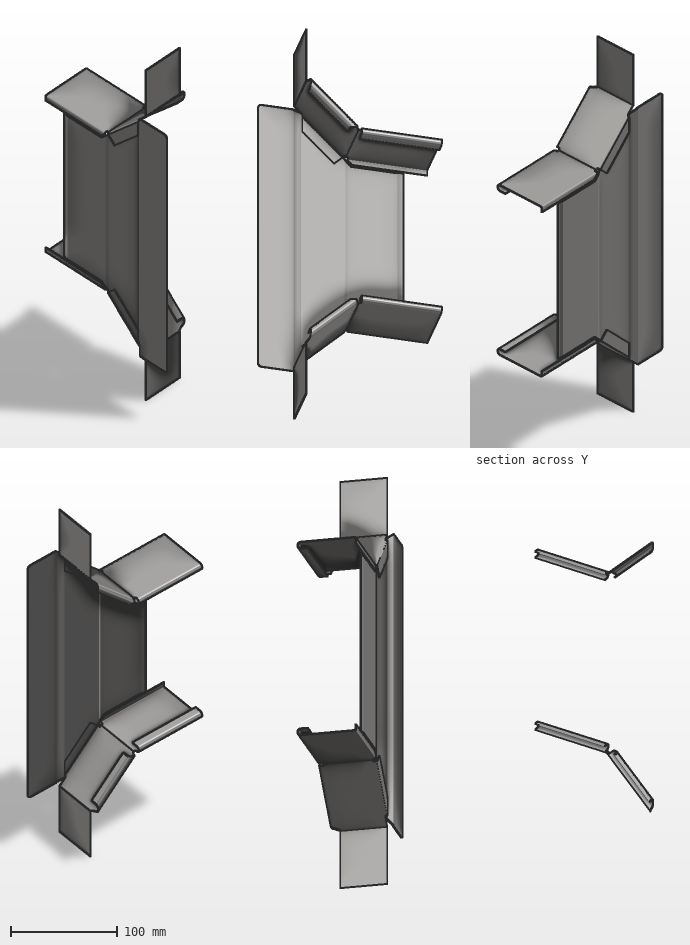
import cadquery as cq
import math


LENGTH = 163.5
HEIGHT = 61.2
SPAN = 408.3
SHEET = 1.0

LEG_TOP = 97.5
FOLD_X = 79.5
EAR_X = 129.0
EAR_FRONT = 6.5
EAR_BACK = 52.3
RELIEF = 2.0
RELIEF_RUN = RELIEF / math.sqrt(2)
RELIEF_FRONT = 7.8
RELIEF_BACK = 56.0
WING_TOP = LEG_TOP + EAR_X - FOLD_X
WING_RUN = (EAR_X - FOLD_X) * math.sqrt(2)
LEG_END = FOLD_X - RELIEF

FLANGE_Y = 4.0
BEND_RADIUS = 1.85
WALL_FRONT = FLANGE_Y + BEND_RADIUS
LEG_FLANGE_DEPTH = 6.5
LEG_FLANGE_CUT = 4.5
TAB_DEPTH = 13.5
TAB_END_X = 121.5

CURL_RADIUS = 3.75
CURL_Y = HEIGHT - CURL_RADIUS
LIP_Y = 51.0
WING_CURL_END_X = 127.5
WING_CORNER_Y = 57.0

FLOOR_START = 23.3
FLOOR_HALF_WIDTH = 89.0
TAB_LEVEL = FLANGE_Y + SHEET
LEAD_IN_START = 25.5
LEAD_IN_END = 29.0
STEP_START = 78.5
STEP_END = 81.0
SLOPE_START = 123.0
FLOOR_FOLD_RADIUS = 1.2
FLAP_START = SLOPE_START + TAB_LEVEL
FLAP_CORNER_RADIUS = 3.5


LEG_PLANE = cq.Plane(origin=(0, 0, LEG_TOP), xDir=(0, 1, 0), normal=(1, 0, 0))
WING_PLANE = cq.Plane(
    origin=(FOLD_X + RELIEF_RUN, 0, LEG_TOP + RELIEF_RUN), xDir=(0, 1, 0), normal=(1, 0, 1)
)


def folded_sheet(plane, path, width):
    """Extrude a folded strip, SHEET thick on the left of its path, with mitred folds."""
    headings = [math.atan2(q[1] - p[1], q[0] - p[0]) for p, q in zip(path, path[1:])]
    before = [headings[0]] + headings
    after = headings + [headings[-1]]
    left_side = []
    for (u, v), a, b in zip(path, before, after):
        normal = (a + b) / 2 + math.pi / 2
        reach = SHEET / math.cos((b - a) / 2)
        left_side.append((u + reach * math.cos(normal), v + reach * math.sin(normal)))
    return cq.Workplane(plane).polyline(path + left_side[::-1]).close().extrude(width)


def block(x, y, z):
    """A box given by its X, Y and Z ranges."""
    size = (x[1] - x[0], y[1] - y[0], z[1] - z[0])
    return cq.Workplane("XY").box(*size, centered=False).translate((x[0], y[0], z[0]))


def flange_section(plane, depth):
    """Wall edge bent inward at the bottom to a flange of the given depth."""
    middle = math.sqrt(0.5)
    inner_radius = BEND_RADIUS - SHEET
    outer_middle = (WALL_FRONT - BEND_RADIUS * middle, BEND_RADIUS * (middle - 1))
    inner_middle = (WALL_FRONT - inner_radius * middle, inner_radius * middle - BEND_RADIUS)
    return (
        cq.Workplane(plane)
        .moveTo(WALL_FRONT, 0)
        .threePointArc(outer_middle, (FLANGE_Y, -BEND_RADIUS))
        .lineTo(FLANGE_Y, -depth)
        .lineTo(FLANGE_Y + SHEET, -depth)
        .lineTo(FLANGE_Y + SHEET, -BEND_RADIUS)
        .threePointArc(inner_middle, (WALL_FRONT, -SHEET))
        .close()
    )


def curl_section(plane):
    """Wall edge curled inward through a half turn, ending in a flat lip."""
    return (
        cq.Workplane(plane)
        .moveTo(CURL_Y, 0)
        .threePointArc((HEIGHT, -CURL_RADIUS), (CURL_Y, -2 * CURL_RADIUS))
        .lineTo(LIP_Y, -2 * CURL_RADIUS)
        .lineTo(LIP_Y, SHEET - 2 * CURL_RADIUS)
        .lineTo(CURL_Y, SHEET - 2 * CURL_RADIUS)
        .threePointArc((HEIGHT - SHEET, -CURL_RADIUS), (CURL_Y, -SHEET))
        .close()
    )


def wall():
    """Leg, wing and ear in one folded strip, with its corner cut, ear clearance and fold notches."""
    path = [(EAR_X, SPAN / 2), (EAR_X, WING_TOP), (FOLD_X, LEG_TOP), (0, LEG_TOP)]
    strip = folded_sheet(cq.Plane.named("XZ", (0, CURL_Y, 0)), path, CURL_Y - WALL_FRONT)
    corner_cut = (
        cq.Workplane("XY")
        .moveTo(EAR_X, EAR_BACK)
        .lineTo(WING_CURL_END_X, WING_CORNER_Y)
        .lineTo(WING_CURL_END_X, HEIGHT)
        .lineTo(LENGTH, HEIGHT)
        .lineTo(LENGTH, EAR_BACK)
        .close()
        .extrude(SPAN / 2)
    )
    ear_clearance = block((TAB_END_X, LENGTH), (0, EAR_FRONT), (0, SPAN / 2))
    notch_x = (LEG_END, FOLD_X + RELIEF_RUN)
    front_notch = block(notch_x, (0, RELIEF_FRONT), (0, SPAN / 2))
    rear_notch = block(notch_x, (RELIEF_BACK, HEIGHT), (0, SPAN / 2))
    return strip.cut(corner_cut).cut(ear_clearance).cut(front_notch).cut(rear_notch)


def leg_flange():
    """Narrow flange along the leg, cut at 45 degrees beside the fold."""
    flange = flange_section(LEG_PLANE, LEG_FLANGE_DEPTH).extrude(LEG_END)
    bottom = LEG_TOP - LEG_FLANGE_DEPTH
    end_cut = (
        cq.Workplane("XZ", origin=(0, WALL_FRONT, 0))
        .moveTo(LEG_END - LEG_FLANGE_CUT, bottom)
        .lineTo(LEG_END, bottom + LEG_FLANGE_CUT)
        .lineTo(LEG_END, bottom)
        .close()
        .extrude(WALL_FRONT)
    )
    return flange.cut(end_cut)


def wing_tab():
    """Wide flange along the wing, under the floor panel."""
    tab = flange_section(WING_PLANE, TAB_DEPTH).extrude(WING_RUN)
    return tab.intersect(block((0, TAB_END_X), (0, HEIGHT), (0, SPAN / 2)))


def wing_curl():
    """Curled rim along the wing, trimmed at the underside of the leg and short of the ear."""
    curl = curl_section(WING_PLANE).extrude(WING_RUN)
    return curl.intersect(block((0, WING_CURL_END_X), (0, HEIGHT), (LEG_TOP - SHEET, SPAN / 2)))


def bracket():
    """The bracket on the +Z side."""
    leg_curl = curl_section(LEG_PLANE).extrude(LEG_END)
    return wall().union(leg_flange()).union(leg_curl).union(wing_tab()).union(wing_curl())


def floor_panel():
    """Floor stepped onto the tabs, then sloping down to a flat flap."""
    profile = [
        (FLOOR_START, TAB_LEVEL),
        (LEAD_IN_START, TAB_LEVEL),
        (LEAD_IN_END, FLANGE_Y),
        (STEP_START, FLANGE_Y),
        (STEP_END, TAB_LEVEL),
        (SLOPE_START, TAB_LEVEL),
        (FLAP_START, 0),
        (LENGTH, 0),
    ]
    strip = folded_sheet(cq.Plane.named("XY", (0, 0, -SPAN / 2)), profile, SPAN)
    panel = strip.edges("|Z").edges("not (<X or >X)").fillet(FLOOR_FOLD_RADIUS)
    wing_line = LEG_TOP - FOLD_X
    inside_line = wing_line - BEND_RADIUS * math.sqrt(2)
    half_outline = [
        (FLOOR_START, FLOOR_HALF_WIDTH),
        (FLOOR_HALF_WIDTH - inside_line, FLOOR_HALF_WIDTH),
        (TAB_END_X, TAB_END_X + inside_line),
        (TAB_END_X, TAB_END_X + wing_line),
        (EAR_X, WING_TOP),
        (LENGTH, WING_TOP),
    ]
    mirrored = [(x, -z) for x, z in reversed(half_outline)]
    blank = (
        cq.Workplane("XZ", origin=(0, HEIGHT, 0))
        .polyline(half_outline + mirrored)
        .close()
        .extrude(HEIGHT)
        .edges(">X and |Y")
        .fillet(FLAP_CORNER_RADIUS)
    )
    return panel.intersect(blank)


upper_bracket = bracket()
brackets = [upper_bracket, upper_bracket.mirror("XY")]
result = cq.Compound.makeCompound([floor_panel().val()] + [side.val() for side in brackets])